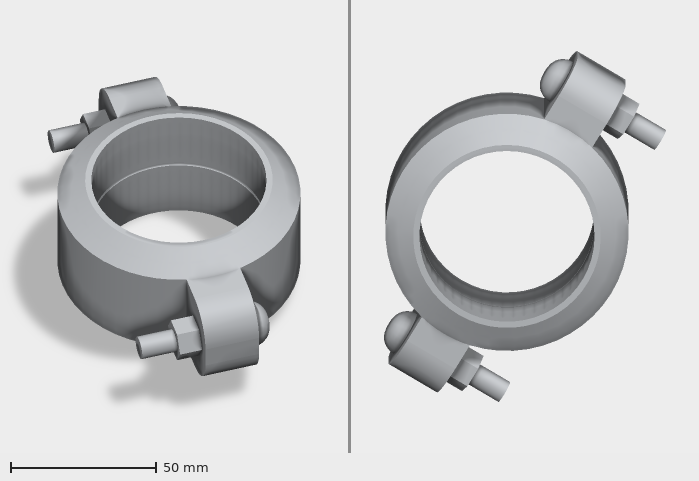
import cadquery as cq

ring_radius = 41.9
ring_height = 45.7
bore_radius = 30.2
end_face_radius = 32.3
shoulder_height = 33.1

groove_radius = end_face_radius
groove_width = 1.4

overall_length = 126.3
lug_height = shoulder_height
lug_thickness = 19.3
lug_corner_radius = 12.6

bolt_offset = 52.0
shank_diameter = 8.0
nut_across_corners = 14.5
nut_thickness = 8.0
shank_projection = 12.6
head_radius = 8.0
head_height = 6.5
head_rounding = 6.3

lug_front_y = -lug_thickness / 2
lug_back_y = lug_thickness / 2


def cylinder(radius, height):
    """Upright cylinder centred on the origin."""
    return cq.Workplane("XY").cylinder(height, radius)


def make_ring_body():
    """Solid of revolution with a straight wall and a bevel at each end."""
    half_height = ring_height / 2
    half_shoulder = shoulder_height / 2
    profile = [
        (0, -half_height),
        (end_face_radius, -half_height),
        (ring_radius, -half_shoulder),
        (ring_radius, half_shoulder),
        (end_face_radius, half_height),
        (0, half_height),
    ]
    return cq.Workplane("XZ").polyline(profile).close().revolve(360, (0, 0, 0), (0, 1, 0))


def make_lugs():
    """One bar across the ring whose rounded ends form both lugs."""
    bar = cq.Workplane("XY").box(overall_length, lug_thickness, lug_height)
    return bar.edges("|Y").fillet(lug_corner_radius)


def make_bolt(x):
    """Domed head behind the lug, hexagonal nut and shank end in front of it."""
    shank_length = lug_thickness + nut_thickness + shank_projection
    shank = cq.Workplane("XZ", origin=(x, lug_back_y, 0)).circle(shank_diameter / 2).extrude(shank_length)
    nut = (
        cq.Workplane("XZ", origin=(x, lug_front_y, 0))
        .polygon(6, nut_across_corners)
        .extrude(nut_thickness)
    )
    head = (
        cq.Workplane("XZ", origin=(x, lug_back_y, 0))
        .circle(head_radius)
        .extrude(-head_height)
        .faces(">Y")
        .edges()
        .fillet(head_rounding)
    )
    return shank.union(nut).union(head)


result = make_ring_body().union(make_lugs())
for bolt_x in (-bolt_offset, bolt_offset):
    result = result.union(make_bolt(bolt_x))
result = result.cut(cylinder(bore_radius, ring_height))
result = result.cut(cylinder(groove_radius, groove_width))